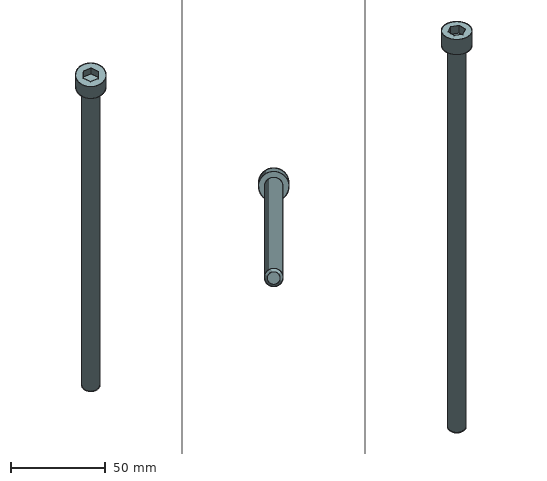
import cadquery as cq
import math

total_length = 260.0
head_diameter = 16.0
head_height = 10.0
shank_diameter = 10.0
tip_chamfer = 1.5
socket_across_flats = 8.0
socket_depth = 5.0

top_z = total_length / 2
head_bottom_z = top_z - head_height
shank_length = total_length - head_height


def make_shank():
    """Plain cylinder with a chamfered tip."""
    shank = cq.Workplane("XY").workplane(offset=-top_z).circle(shank_diameter / 2).extrude(shank_length)
    return shank.faces("<Z").chamfer(tip_chamfer)


def make_head():
    """Sharp-edged cylindrical head."""
    return cq.Workplane("XY").workplane(offset=head_bottom_z).circle(head_diameter / 2).extrude(head_height)


def make_socket():
    """Blind hexagonal socket with two corners on the X axis."""
    across_corners = socket_across_flats / math.cos(math.pi / 6)
    return cq.Workplane("XY").workplane(offset=top_z).polygon(6, across_corners).extrude(-socket_depth)


result = make_shank().union(make_head()).cut(make_socket())